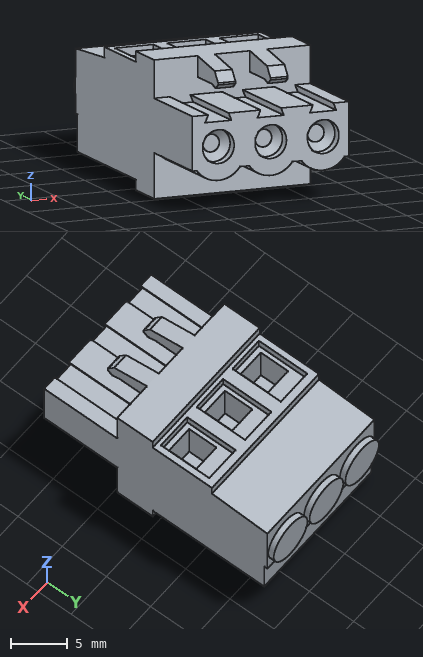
import cadquery as cq

POLE_COUNT = 3
PITCH = 5.08
WIDTH = 15.18
LENGTH = 25.9
HEIGHT = 12.6

COLLAR_FRONT_Y = 8.3
COLLAR_BACK_Y = 12.3
COLLAR_STEP = 0.95
DECK_BACK_Y = 19.0
SLOPE_FRONT_Z = 10.67
SLOPE_BACK_Z = 10.25
LOWER_BACK_Y = 24.92
UPPER_BACK_Y = 25.28
BACK_LEDGE_Z = 4.35
DECK_Z = HEIGHT - COLLAR_STEP

PLUG_TOP_Z = 9.12
PLUG_FLAT_Z = 4.17
LOBE_BOTTOM_Z = 3.1
LOBE_HALF_WIDTH = 2.1

GROOVE_DEPTH = 0.67
GROOVE_MOUTH = 2.0
GROOVE_FLOOR = 2.55

CONTACT_Z = 6.16
CONTACT_RADIUS = 1.53
CONTACT_FLOOR_RADIUS = 0.8
CONTACT_BORE_DEPTH = 0.88
CONTACT_CONE_DEPTH = CONTACT_RADIUS - CONTACT_FLOOR_RADIUS

RECESS_WIDTH = 3.73
RECESS_FRONT_Y = 12.72
RECESS_BACK_Y = 18.18
RECESS_DEPTH = 0.85
WIRE_WIDTH = 2.85
WIRE_FRONT_Y = 13.29
WIRE_BACK_Y = 16.37
WIRE_DEPTH = 4.65

SCREW_RADIUS = 2.38
SCREW_Z = 6.75

LATCH_WIDTH = 1.68
LATCH_UNDERSIDE_Z = 10.67
LATCH_HOOK_START_Y = 5.18
LATCH_HOOK_Y = 4.38
LATCH_HOOK_Z = 10.4
LATCH_SHOULDER_Y = 4.58
LATCH_SHOULDER_Z = 11.95
LATCH_TIP_Y = 3.83
LATCH_TIP_BOTTOM_Z = 10.83
LATCH_TIP_TOP_Z = 11.0


def centred_positions(count):
    """X positions of `count` equally pitched items centred on X = 0."""
    return [(i - (count - 1) / 2) * PITCH for i in range(count)]


def extrude_side(points, width, x_centre=0):
    """Extrude a (Y, Z) outline along X, centred on x_centre."""
    return cq.Workplane("YZ", origin=(x_centre - width / 2, 0, 0)).polyline(points).close().extrude(width)


def box_between(x_centre, width, y_front, y_back, z_bottom, z_top):
    size = (width, y_back - y_front, z_top - z_bottom)
    return cq.Workplane("XY", origin=(x_centre, y_front, z_bottom)).box(*size, centered=(True, False, False))


def housing():
    outline = [
        (COLLAR_FRONT_Y, 0),
        (COLLAR_BACK_Y, 0),
        (COLLAR_BACK_Y, COLLAR_STEP),
        (LOWER_BACK_Y, COLLAR_STEP),
        (LOWER_BACK_Y, BACK_LEDGE_Z),
        (UPPER_BACK_Y, BACK_LEDGE_Z),
        (UPPER_BACK_Y, SLOPE_BACK_Z),
        (DECK_BACK_Y, SLOPE_FRONT_Z),
        (DECK_BACK_Y, DECK_Z),
        (COLLAR_BACK_Y, DECK_Z),
        (COLLAR_BACK_Y, HEIGHT),
        (COLLAR_FRONT_Y, HEIGHT),
    ]
    return extrude_side(outline, WIDTH)


def plug(poles):
    outline = cq.Workplane("XZ").moveTo(-WIDTH / 2, PLUG_TOP_Z).lineTo(-WIDTH / 2, PLUG_FLAT_Z)
    for x in poles:
        outline = outline.lineTo(x - LOBE_HALF_WIDTH, PLUG_FLAT_Z)
        outline = outline.threePointArc((x, LOBE_BOTTOM_Z), (x + LOBE_HALF_WIDTH, PLUG_FLAT_Z))
    outline = outline.lineTo(WIDTH / 2, PLUG_FLAT_Z).lineTo(WIDTH / 2, PLUG_TOP_Z).close()
    return outline.extrude(-COLLAR_FRONT_Y)


def dovetail_groove(x):
    outline = [
        (x - GROOVE_MOUTH / 2, PLUG_TOP_Z),
        (x + GROOVE_MOUTH / 2, PLUG_TOP_Z),
        (x + GROOVE_FLOOR / 2, PLUG_TOP_Z - GROOVE_DEPTH),
        (x - GROOVE_FLOOR / 2, PLUG_TOP_Z - GROOVE_DEPTH),
    ]
    return cq.Workplane("XZ").polyline(outline).close().extrude(-COLLAR_FRONT_Y)


def contact_hole(x):
    """Straight bore ending in a 45 degree cone with a flat floor."""
    floor_y = CONTACT_BORE_DEPTH + CONTACT_CONE_DEPTH
    bore = cq.Workplane("XZ", origin=(x, 0, CONTACT_Z)).circle(CONTACT_RADIUS).extrude(-floor_y)
    return bore.faces(">Y").chamfer(CONTACT_CONE_DEPTH)


def wire_entry(x):
    """Shallow rectangular recess with a deeper wire shaft in its floor."""
    recess = box_between(x, RECESS_WIDTH, RECESS_FRONT_Y, RECESS_BACK_Y, DECK_Z - RECESS_DEPTH, DECK_Z)
    shaft = box_between(x, WIRE_WIDTH, WIRE_FRONT_Y, WIRE_BACK_Y, DECK_Z - WIRE_DEPTH, DECK_Z)
    return recess.union(shaft)


def screw_head(x):
    base = cq.Workplane("XZ", origin=(x, UPPER_BACK_Y, SCREW_Z)).circle(SCREW_RADIUS)
    return base.extrude(-(LENGTH - UPPER_BACK_Y))


def latch_finger(x):
    """Finger tapering forward from the collar to a bevelled tip with a small hook below."""
    outline = [
        (COLLAR_FRONT_Y, HEIGHT),
        (LATCH_SHOULDER_Y, LATCH_SHOULDER_Z),
        (LATCH_TIP_Y, LATCH_TIP_TOP_Z),
        (LATCH_TIP_Y, LATCH_TIP_BOTTOM_Z),
        (LATCH_HOOK_Y, LATCH_HOOK_Z),
        (LATCH_HOOK_START_Y, LATCH_UNDERSIDE_Z),
        (COLLAR_FRONT_Y, LATCH_UNDERSIDE_Z),
    ]
    return extrude_side(outline, LATCH_WIDTH, x)


poles = centred_positions(POLE_COUNT)

result = housing().union(plug(poles))
for x in centred_positions(POLE_COUNT - 1):
    result = result.union(latch_finger(x))
for x in poles:
    result = result.union(screw_head(x))
    result = result.cut(dovetail_groove(x)).cut(contact_hole(x)).cut(wire_entry(x))